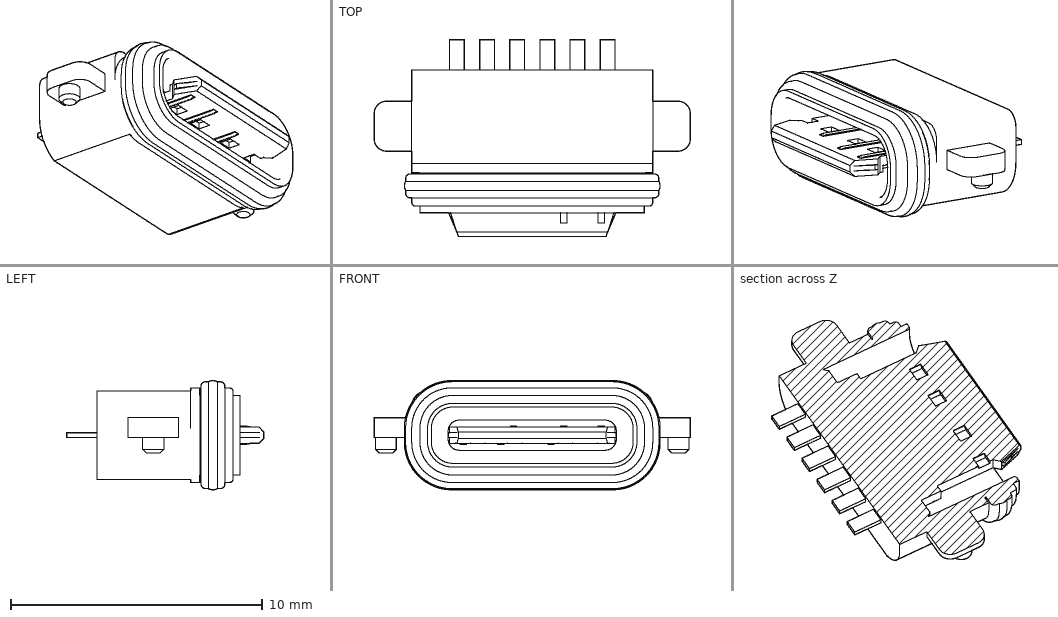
import cadquery as cq


OVERLAP = 0.2
EDGE_MARGIN = 0.01

HOUSING_HALF_WIDTH = 4.8
HOUSING_HALF_HEIGHT = 1.765
HOUSING_TOP_RADIUS = 0.61
HOUSING_REAR = 5.7

COLLAR_HALF_HEIGHT = 1.885
COLLAR_RADIUS = 1.6
COLLAR_FRONT = 0.27
COLLAR_REAR = 1.97
COLLAR_EDGE_FILLET = 0.15
RIM_HALF_WIDTH = 4.47
RIM_HALF_HEIGHT = 1.585
RIM_RADIUS = 1.3
GROOVE_FRONT = 0.6
GROOVE_REAR = 1.6
GROOVE_DEPTH = 0.3

SEAL_HEIGHT = 0.295
SEAL_WIDTH = 0.96
SEAL_SHOULDER_HEIGHT = 0.245
SEAL_SHOULDER_RADIUS = 0.185
SEAL_CREST_HALF_WIDTH = 0.178

CAVITY_HALF_WIDTH = 4.17
CAVITY_HALF_HEIGHT = 1.27
CAVITY_RADIUS = 1.0
CAVITY_DEPTH = 4.0
MOUTH_FILLET = 0.115

BLOCK_LENGTH = 0.15
BLOCK_TAPER = 0.15

ROOT_HALF_WIDTH = 3.35
ROOT_HALF_HEIGHT = 0.6
ROOT_RADIUS = 0.445
ROOT_LENGTH = 0.9
RAMP_LENGTH = 0.45

TONGUE_HALF_THICKNESS = 0.33
TONGUE_TIP = -0.945
TONGUE_TIP_HALF_WIDTH = 2.945
TONGUE_HALF_WIDTH = 3.3
TONGUE_SHOULDER = 0.15
NOTCH_HALF_WIDTH = 3.05
TIP_CHAMFER_LENGTH = 0.19
TIP_HALF_THICKNESS = 0.135

PLATE_HALF_THICKNESS = 0.1
PLATE_HALF_WIDTH = 3.33
PLATE_FRONT = -0.87
PLATE_FRONT_HALF_WIDTH = 2.96

CONTACTS = [(-0.75, 0.03), (1.25, -0.39), (2.75, -0.39)]
CONTACT_WIDTH = 0.25
CONTACT_HEIGHT = 0.04
CONTACT_NOSE = 0.17

WINDOWS = [(-ROOT_HALF_WIDTH, -2.6), (-1.6, -1.02), (0.4, 0.98), (1.88, 2.46)]
WINDOW_FRONT = 0.54
WINDOW_LENGTH = 0.5
WINDOW_DEPTH = 0.26
WINDOW_WALL_DEPTH = 0.14

TAB_HALF_SPAN = 6.3
TAB_LENGTH = 2.0
TAB_CENTRE_Y = 3.455
TAB_BOTTOM = -0.1
TAB_TOP = 0.7
TAB_RADIUS = 0.5
PEG_X = 5.825
PEG_RADIUS = 0.42
PEG_LENGTH = 0.61
PEG_CHAMFER = 0.15

PIN_COUNT = 6
PIN_PITCH = 1.2
PIN_WIDTH = 0.6
PIN_THICKNESS = 0.2
PIN_LENGTH = 1.2


def box(x_range, y_range, z_range):
    """Axis-aligned box between the given limits."""
    (x0, x1), (y0, y1), (z0, z1) = x_range, y_range, z_range
    return cq.Workplane("XY").box(x1 - x0, y1 - y0, z1 - z0, centered=False).translate((x0, y0, z0))


def rounded_bar(half_width, half_height, radius, front, rear):
    """Rounded rectangle in XZ, extruded along +Y from front to rear."""
    bar = cq.Workplane("XY").box(2 * half_width, rear - front, 2 * half_height)
    return bar.translate((0, (front + rear) / 2, 0)).edges("|Y").fillet(radius)


def collar_bar(offset, front, rear):
    """Bar following the collar outline, offset outward (+) or inward (-)."""
    return rounded_bar(
        HOUSING_HALF_WIDTH + offset, COLLAR_HALF_HEIGHT + offset, COLLAR_RADIUS + offset, front, rear
    )


def make_housing():
    """Housing whose lower corners continue the collar outline down to a flat underside."""
    housing = box(
        (-HOUSING_HALF_WIDTH, HOUSING_HALF_WIDTH),
        (COLLAR_REAR, HOUSING_REAR),
        (-COLLAR_HALF_HEIGHT, HOUSING_HALF_HEIGHT),
    )
    housing = housing.edges("|Y and >Z").fillet(HOUSING_TOP_RADIUS)
    housing = housing.edges("|Y and <Z").fillet(COLLAR_RADIUS)
    underside = box(
        (-HOUSING_HALF_WIDTH, HOUSING_HALF_WIDTH),
        (COLLAR_REAR, HOUSING_REAR),
        (-COLLAR_HALF_HEIGHT, -HOUSING_HALF_HEIGHT),
    )
    housing = housing.cut(underside)
    collar = collar_bar(0, COLLAR_FRONT, COLLAR_REAR).faces("<Y").edges().fillet(COLLAR_EDGE_FILLET)
    rim = rounded_bar(RIM_HALF_WIDTH, RIM_HALF_HEIGHT, RIM_RADIUS, 0, COLLAR_REAR)
    groove = collar_bar(OVERLAP, GROOVE_FRONT, GROOVE_REAR).cut(
        collar_bar(-GROOVE_DEPTH, GROOVE_FRONT, GROOVE_REAR)
    )
    return housing.union(collar).cut(groove).union(rim)


def make_seal():
    """Ring swept around the collar: rounded shoulders with an arched crest between them."""
    half_width = SEAL_WIDTH / 2
    base_z = COLLAR_HALF_HEIGHT - GROOVE_DEPTH
    shoulder_z = COLLAR_HALF_HEIGHT + SEAL_SHOULDER_HEIGHT
    crest_z = COLLAR_HALF_HEIGHT + SEAL_HEIGHT
    flank_z = shoulder_z - SEAL_SHOULDER_RADIUS
    flat_start = half_width - SEAL_SHOULDER_RADIUS
    profile = (
        cq.Workplane("YZ")
        .moveTo(-half_width, base_z)
        .lineTo(-half_width, flank_z)
        .radiusArc((-flat_start, shoulder_z), SEAL_SHOULDER_RADIUS)
        .lineTo(-SEAL_CREST_HALF_WIDTH, shoulder_z)
        .threePointArc((0, crest_z), (SEAL_CREST_HALF_WIDTH, shoulder_z))
        .lineTo(flat_start, shoulder_z)
        .radiusArc((half_width, flank_z), SEAL_SHOULDER_RADIUS)
        .lineTo(half_width, base_z)
        .close()
    )
    arc_x = HOUSING_HALF_WIDTH - COLLAR_RADIUS
    arc_z = COLLAR_HALF_HEIGHT - COLLAR_RADIUS
    path = (
        cq.Workplane("XZ")
        .moveTo(0, COLLAR_HALF_HEIGHT)
        .lineTo(arc_x, COLLAR_HALF_HEIGHT)
        .radiusArc((HOUSING_HALF_WIDTH, arc_z), COLLAR_RADIUS)
        .lineTo(HOUSING_HALF_WIDTH, -arc_z)
        .radiusArc((arc_x, -COLLAR_HALF_HEIGHT), COLLAR_RADIUS)
        .lineTo(-arc_x, -COLLAR_HALF_HEIGHT)
        .radiusArc((-HOUSING_HALF_WIDTH, -arc_z), COLLAR_RADIUS)
        .lineTo(-HOUSING_HALF_WIDTH, arc_z)
        .radiusArc((-arc_x, COLLAR_HALF_HEIGHT), COLLAR_RADIUS)
        .close()
    )
    return profile.sweep(path).translate((0, GROOVE_FRONT + half_width, 0))


def make_cavity():
    """Mouth opening whose floor is the tapered face of the insulator block."""
    cavity = rounded_bar(CAVITY_HALF_WIDTH, CAVITY_HALF_HEIGHT, CAVITY_RADIUS, 0, CAVITY_DEPTH)
    block = rounded_bar(
        CAVITY_HALF_WIDTH,
        CAVITY_HALF_HEIGHT,
        CAVITY_RADIUS,
        CAVITY_DEPTH - BLOCK_LENGTH,
        CAVITY_DEPTH + OVERLAP,
    )
    block = block.faces("<Y").edges().chamfer(BLOCK_TAPER)
    return cavity.cut(block)


def make_shell():
    """Housing and seal hollowed by the cavity, with a rounded lead-in at the mouth."""
    shell = make_housing().union(make_seal()).cut(make_cavity())
    mouth_edges = cq.selectors.BoxSelector(
        (-CAVITY_HALF_WIDTH - EDGE_MARGIN, -EDGE_MARGIN, -CAVITY_HALF_HEIGHT - EDGE_MARGIN),
        (CAVITY_HALF_WIDTH + EDGE_MARGIN, EDGE_MARGIN, CAVITY_HALF_HEIGHT + EDGE_MARGIN),
        boundingbox=True,
    )
    return shell.edges(mouth_edges).fillet(MOUTH_FILLET)


def mirrored_plan(points, half_thickness):
    """Flat plate symmetric about X = 0 from its +X side points, listed front to rear."""
    outline = points + [(-x, y) for x, y in reversed(points)]
    return cq.Workplane("XY").polyline(outline).close().extrude(half_thickness, both=True)


def make_root():
    rear = CAVITY_DEPTH + OVERLAP
    front = CAVITY_DEPTH - BLOCK_LENGTH - ROOT_LENGTH
    ramp_end = front + RAMP_LENGTH
    root = rounded_bar(ROOT_HALF_WIDTH, ROOT_HALF_HEIGHT, ROOT_RADIUS, front, rear)
    side_profile = [
        (front, -TONGUE_HALF_THICKNESS),
        (front, TONGUE_HALF_THICKNESS),
        (ramp_end, ROOT_HALF_HEIGHT),
        (rear, ROOT_HALF_HEIGHT),
        (rear, -ROOT_HALF_HEIGHT),
        (ramp_end, -ROOT_HALF_HEIGHT),
    ]
    ramps = cq.Workplane("YZ").polyline(side_profile).close().extrude(ROOT_HALF_WIDTH, both=True)
    return root.intersect(ramps)


def make_tongue_body():
    rear = CAVITY_DEPTH
    notch_start = TONGUE_SHOULDER + TONGUE_HALF_WIDTH - NOTCH_HALF_WIDTH
    notch_points = [(NOTCH_HALF_WIDTH, notch_start), (NOTCH_HALF_WIDTH, rear)]
    shoulder = (TONGUE_HALF_WIDTH, TONGUE_SHOULDER)
    body = mirrored_plan(
        [(TONGUE_TIP_HALF_WIDTH, TONGUE_TIP), shoulder] + notch_points, TONGUE_HALF_THICKNESS
    )
    chamfer_end = TONGUE_TIP + TIP_CHAMFER_LENGTH
    side_profile = [
        (TONGUE_TIP, -TIP_HALF_THICKNESS),
        (TONGUE_TIP, TIP_HALF_THICKNESS),
        (chamfer_end, TONGUE_HALF_THICKNESS),
        (rear, TONGUE_HALF_THICKNESS),
        (rear, -TONGUE_HALF_THICKNESS),
        (chamfer_end, -TONGUE_HALF_THICKNESS),
    ]
    wedge = cq.Workplane("YZ").polyline(side_profile).close().extrude(ROOT_HALF_WIDTH, both=True)
    plate = mirrored_plan(
        [(PLATE_FRONT_HALF_WIDTH, PLATE_FRONT), (PLATE_HALF_WIDTH, 0), shoulder] + notch_points,
        PLATE_HALF_THICKNESS,
    )
    return body.intersect(wedge).union(plate)


def make_contact(centre_x, front):
    """Contact strip on the upper face, its front end sloping down to the tongue."""
    top = TONGUE_HALF_THICKNESS + CONTACT_HEIGHT
    profile = [
        (front, TONGUE_HALF_THICKNESS - OVERLAP),
        (front, TONGUE_HALF_THICKNESS + CONTACT_HEIGHT / 4),
        (front + CONTACT_NOSE, top),
        (CAVITY_DEPTH, top),
        (CAVITY_DEPTH, TONGUE_HALF_THICKNESS - OVERLAP),
    ]
    strip = cq.Workplane("YZ").polyline(profile).close().extrude(CONTACT_WIDTH / 2, both=True)
    return strip.translate((centre_x, 0, 0))


def make_window(left, right):
    """Pocket in the upper face; its right wall slopes to the floor in the lower part."""
    floor = TONGUE_HALF_THICKNESS - WINDOW_DEPTH
    slope_top = TONGUE_HALF_THICKNESS - WINDOW_WALL_DEPTH
    profile = [
        (left, floor),
        (right - (slope_top - floor), floor),
        (right, slope_top),
        (right, ROOT_HALF_HEIGHT),
        (left, ROOT_HALF_HEIGHT),
    ]
    pocket = cq.Workplane("XZ").polyline(profile).close().extrude(-WINDOW_LENGTH)
    return pocket.translate((0, WINDOW_FRONT, 0))


def make_tongue():
    """Tongue with its lower face repeating the upper one, turned half a turn about Y."""
    tongue = make_tongue_body().union(make_root())
    for turn in (0, 180):
        for centre_x, front in CONTACTS:
            tongue = tongue.union(make_contact(centre_x, front).rotate((0, 0, 0), (0, 1, 0), turn))
        for left, right in WINDOWS:
            tongue = tongue.cut(make_window(left, right).rotate((0, 0, 0), (0, 1, 0), turn))
    return tongue


def make_tab():
    """Mounting tab on the +X side with a chamfered peg below it."""
    tab = box(
        (HOUSING_HALF_WIDTH - OVERLAP, TAB_HALF_SPAN),
        (TAB_CENTRE_Y - TAB_LENGTH / 2, TAB_CENTRE_Y + TAB_LENGTH / 2),
        (TAB_BOTTOM, TAB_TOP),
    )
    tab = tab.edges("|Z and >X").fillet(TAB_RADIUS)
    peg = cq.Workplane("XY").circle(PEG_RADIUS).extrude(-PEG_LENGTH)
    peg = peg.faces("<Z").edges().chamfer(PEG_CHAMFER)
    return tab.union(peg.translate((PEG_X, TAB_CENTRE_Y, TAB_BOTTOM)))


def make_pin(index):
    centre_x = (index - (PIN_COUNT - 1) / 2) * PIN_PITCH
    return box(
        (centre_x - PIN_WIDTH / 2, centre_x + PIN_WIDTH / 2),
        (HOUSING_REAR - OVERLAP, HOUSING_REAR + PIN_LENGTH),
        (-PIN_THICKNESS / 2, PIN_THICKNESS / 2),
    )


part = make_shell().union(make_tongue())
tab = make_tab()
part = part.union(tab).union(tab.mirror("YZ"))
for pin_index in range(PIN_COUNT):
    part = part.union(make_pin(pin_index))

result = part